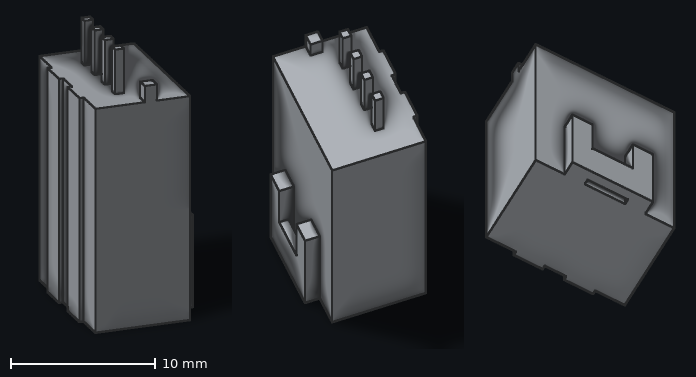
import cadquery as cq

BODY_WIDTH = 11.0
BODY_DEPTH = 7.0
BODY_HEIGHT = 16.6
FRONT_Y = -BODY_DEPTH / 2
BACK_Y = BODY_DEPTH / 2
RIGHT_X = BODY_WIDTH / 2

RAIL_WIDTH = 2.3
RAIL_DEPTH = 0.3
RAIL_SPACING = 4.0

PIN_COUNT = 4
PIN_PITCH = 2.0
PIN_SIZE = 0.64
PIN_HEIGHT = 3.3
PIN_Y = FRONT_Y + 2.6

PEG_SIZE = 0.9
PEG_HEIGHT = 1.2
PEG_Y = FRONT_Y + 4.1

LATCH_WIDTH = 6.4
LATCH_DEPTH = 1.1
LATCH_HEIGHT = 6.8
LEG_WIDTH = 1.6
BAR_DEPTH = 0.7
BAR_HEIGHT = LATCH_HEIGHT / 2

OVERLAP = 0.2


def block(x_range, y_range, z_range):
    """Axis-aligned box between the given (low, high) limits."""
    x_low, x_high = x_range
    y_low, y_high = y_range
    z_low, z_high = z_range
    box = cq.Workplane("XY").box(x_high - x_low, y_high - y_low, z_high - z_low, centered=False)
    return box.translate((x_low, y_low, z_low))


def span(center, size):
    """Limits of a length centred on the given place."""
    return (center - size / 2, center + size / 2)


def make_body():
    return block(span(0, BODY_WIDTH), span(0, BODY_DEPTH), (0, BODY_HEIGHT))


def add_rails(part):
    rail_y = (FRONT_Y - RAIL_DEPTH, FRONT_Y + OVERLAP)
    for side in (-1, 1):
        rail_x = span(side * RAIL_SPACING / 2, RAIL_WIDTH)
        part = part.union(block(rail_x, rail_y, (0, BODY_HEIGHT)))
    return part


def add_pins(part):
    pin_z = (BODY_HEIGHT - OVERLAP, BODY_HEIGHT + PIN_HEIGHT)
    for index in range(PIN_COUNT):
        pin_x = (index - (PIN_COUNT - 1) / 2) * PIN_PITCH
        part = part.union(block(span(pin_x, PIN_SIZE), span(PIN_Y, PIN_SIZE), pin_z))
    return part


def add_peg(part):
    peg_x = (RIGHT_X - PEG_SIZE, RIGHT_X)
    peg_z = (BODY_HEIGHT - OVERLAP, BODY_HEIGHT + PEG_HEIGHT)
    return part.union(block(peg_x, span(PEG_Y, PEG_SIZE), peg_z))


def add_latch(part):
    latch_back_y = BACK_Y + LATCH_DEPTH
    leg_y = (BACK_Y - OVERLAP, latch_back_y)
    leg_offset = (LATCH_WIDTH - LEG_WIDTH) / 2
    for side in (-1, 1):
        part = part.union(block(span(side * leg_offset, LEG_WIDTH), leg_y, (0, LATCH_HEIGHT)))

    bar_x = span(0, LATCH_WIDTH - 2 * LEG_WIDTH + 2 * OVERLAP)
    bar_y = (latch_back_y - BAR_DEPTH, latch_back_y)
    return part.union(block(bar_x, bar_y, (0, BAR_HEIGHT)))


body = make_body()
body = add_rails(body)
body = add_pins(body)
body = add_peg(body)
result = add_latch(body)